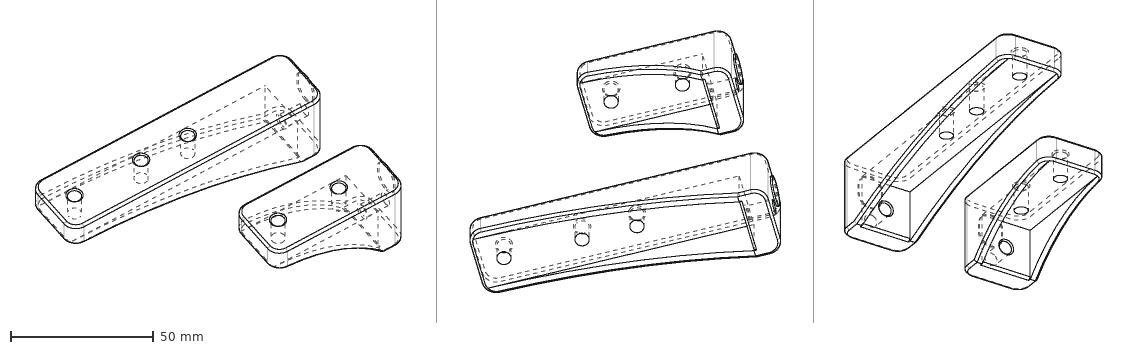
import cadquery as cq
import math

total_length = 109.2
width = 26.2
height = 30.0
thickness = 10.0
corner_radius = 5.0
edge_chamfer = 1.0
wall_gap = 20.0

hole_diameter = 5.0
hole_chamfer = 0.5
back_hole_height = 10.0

pad_width = 9.7
pad_height = 12.7
pad_depth = 0.7
pad_center_height = 21.8

long_length = total_length - pad_depth
long_hole_distances = [50.0, 70.0, 98.5]
short_length = 56.0
short_hole_distances = [20.0, 46.0]
bracket_spacing = 50.0

ceiling = height - thickness


def make_blank(length):
    """Solid wedge whose curved underside becomes level at the front tip."""
    run = length - thickness
    radius = (run ** 2 + ceiling ** 2) / (2 * ceiling)
    half_sweep = math.asin(run / radius) / 2
    arc_middle = (
        -length + radius * math.sin(half_sweep),
        ceiling - radius * (1 - math.cos(half_sweep)),
    )
    blank = (
        cq.Workplane("YZ")
        .moveTo(0, 0)
        .lineTo(-thickness, 0)
        .threePointArc(arc_middle, (-length, ceiling))
        .lineTo(-length, height)
        .lineTo(0, height)
        .close()
        .extrude(width / 2, both=True)
    )
    return blank.edges("|Z").fillet(corner_radius)


def chamfer_rims(blank):
    """Chamfer the upper rim and the lower rim, but not the crease across the underside."""
    crease_zone = cq.selectors.BoxSelector(
        (-width, -thickness - edge_chamfer, -edge_chamfer),
        (width, -thickness + edge_chamfer, edge_chamfer),
    )
    cross_edges = cq.selectors.ParallelDirSelector(cq.Vector(1, 0, 0))
    crease_edge = cq.selectors.AndSelector(crease_zone, cross_edges)
    upright_edges = cq.selectors.ParallelDirSelector(cq.Vector(0, 0, 1))
    skipped = cq.selectors.SumSelector(crease_edge, upright_edges)
    return blank.edges(cq.selectors.InverseSelector(skipped)).chamfer(edge_chamfer)


def make_pocket(length):
    """Space between the gussets, leaving a chamfer along the foot of the back plate."""
    return (
        cq.Workplane("YZ")
        .moveTo(-length, 0)
        .lineTo(-thickness + edge_chamfer, 0)
        .lineTo(-thickness, edge_chamfer)
        .lineTo(-thickness, ceiling)
        .lineTo(-length, ceiling)
        .close()
        .extrude(wall_gap / 2, both=True)
    )


def make_hole_cutter(mouth, direction):
    """Plate-deep round cutter with a chamfered mouth."""
    radius = hole_diameter / 2
    start = cq.Vector(*mouth)
    axis = cq.Vector(*direction)
    bore = cq.Solid.makeCylinder(radius, thickness, start, axis)
    flare = cq.Solid.makeCone(radius + hole_chamfer, radius, hole_chamfer, start, axis)
    return bore.fuse(flare)


def make_pad():
    """Shallow round-ended pad standing on the back face."""
    return (
        cq.Workplane("XZ", origin=(0, 0, pad_center_height))
        .slot2D(pad_height, pad_width, 90)
        .extrude(-pad_depth)
    )


def make_bracket(length, hole_distances):
    bracket = chamfer_rims(make_blank(length)).cut(make_pocket(length))
    bracket = bracket.cut(cq.Workplane(make_hole_cutter((0, -thickness, back_hole_height), (0, 1, 0))))
    for distance in hole_distances:
        bracket = bracket.cut(cq.Workplane(make_hole_cutter((0, -distance, height), (0, 0, -1))))
    return bracket.union(make_pad())


long_bracket = make_bracket(long_length, long_hole_distances)
short_bracket = make_bracket(short_length, short_hole_distances).translate((bracket_spacing, 0, 0))

result = cq.Compound.makeCompound([long_bracket.val(), short_bracket.val()])